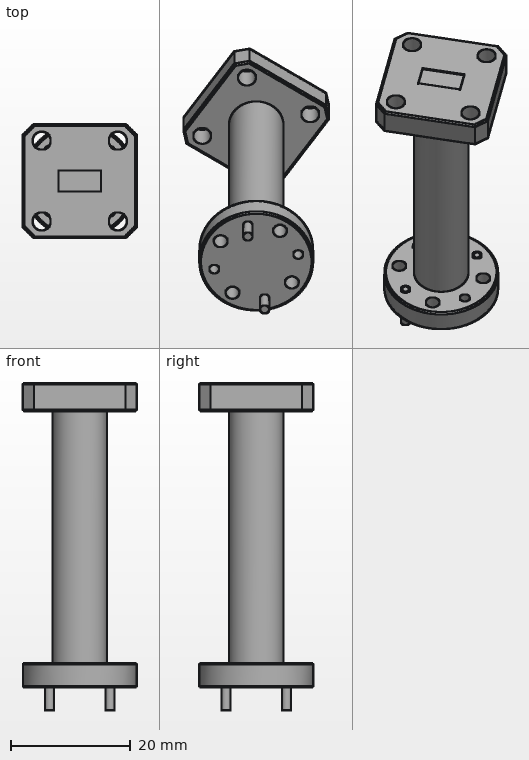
import cadquery as cq
import math

flange_width = 19.05
overall_height = 54.67
pin_projection = 3.77
edge_chamfer = 0.3

round_flange_thickness = 4.16
bolt_circle_radius = 14.29 / 2
screw_hole_diameter = 2.3
pin_hole_diameter = 1.65
pin_diameter = 1.56
pin_top_chamfer = 0.2

square_flange_thickness = 4.76
corner_chamfer = 1.85
mount_hole_diameter = 3.0
mount_hole_pitch_x = 12.7
mount_hole_pitch_y = 13.46

tube_diameter = 9.14
recess_length = 7.11
recess_width = 3.56
recess_depth = 0.25

top_z = overall_height - pin_projection
square_flange_z = top_z - square_flange_thickness


def on_bolt_circle(angle):
    """X, Y of the point on the bolt circle at an angle in degrees."""
    radians = math.radians(angle)
    return bolt_circle_radius * math.cos(radians), bolt_circle_radius * math.sin(radians)


screw_points = [on_bolt_circle(angle) for angle in (0, 90, 180, 270)]
pin_points = [on_bolt_circle(angle) for angle in (45, 225)]
pin_hole_points = [on_bolt_circle(angle) for angle in (135, 315)]


def make_round_flange():
    """Disc with screw holes, open pin holes and the holes that hold the pins."""
    disc = cq.Workplane("XY").circle(flange_width / 2).extrude(round_flange_thickness)
    disc = disc.faces("<Z or >Z").chamfer(edge_chamfer)
    hole_sets = (
        (screw_points, screw_hole_diameter),
        (pin_hole_points, pin_hole_diameter),
        (pin_points, pin_diameter),
    )
    for points, diameter in hole_sets:
        holes = cq.Workplane("XY").pushPoints(points).circle(diameter / 2).extrude(round_flange_thickness)
        disc = disc.cut(holes)
    return disc


def make_square_flange():
    """Square plate with cut corners, mounting holes and a shallow waveguide recess."""
    plate = (
        cq.Workplane("XY", origin=(0, 0, square_flange_z))
        .rect(flange_width, flange_width)
        .extrude(square_flange_thickness)
        .edges("|Z")
        .chamfer(corner_chamfer)
        .faces("<Z or >Z")
        .chamfer(edge_chamfer)
    )
    mount_holes = (
        cq.Workplane("XY", origin=(0, 0, square_flange_z))
        .rect(mount_hole_pitch_x, mount_hole_pitch_y, forConstruction=True)
        .vertices()
        .circle(mount_hole_diameter / 2)
        .extrude(square_flange_thickness)
    )
    recess = (
        cq.Workplane("XY", origin=(0, 0, top_z))
        .rect(recess_length, recess_width)
        .extrude(-recess_depth)
    )
    return plate.cut(mount_holes).cut(recess)


def make_waveguide():
    """Both flanges joined by the tube, as one solid."""
    tube = (
        cq.Workplane("XY", origin=(0, 0, round_flange_thickness))
        .circle(tube_diameter / 2)
        .extrude(square_flange_z - round_flange_thickness)
    )
    return make_round_flange().union(tube).union(make_square_flange())


def make_alignment_pin(x, y):
    """Pin through the round flange, flush on top and projecting below."""
    return (
        cq.Workplane("XY", origin=(x, y, -pin_projection))
        .circle(pin_diameter / 2)
        .extrude(pin_projection + round_flange_thickness)
        .faces(">Z")
        .chamfer(pin_top_chamfer)
    )


waveguide = make_waveguide()
alignment_pins = [make_alignment_pin(x, y).val() for x, y in pin_points]

result = cq.Compound.makeCompound([waveguide.val(), *alignment_pins])